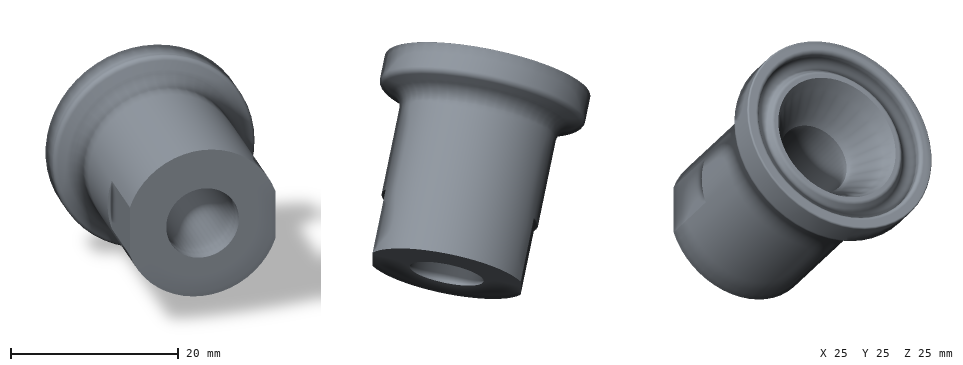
import cadquery as cq
import math

length = 25.0
flange_radius = 12.5
body_radius = 9.52
bore_radius = 4.5

rim_edge_round = 0.2
rim_back = 3.18
back_round = 0.75
neck_round = 2.0
neck_end = 6.25
back_turn = 70.0

groove_outer_radius = 10.88
groove_mouth_round = 0.5
groove_floor_depth = 2.0
groove_round = 0.8
groove_inner_angle = 35.0

lip_recess = 0.75
lip_round = 0.5
mouth_radius = 7.95
funnel_end = 6.62

flat_half_width = 9.0
flat_length = 8.0


def arc_point(center, radius, angle):
    """Point on a circle in the (x, r) half-plane; angle in degrees from +x towards +r."""
    turn = math.radians(angle)
    return center[0] + radius * math.cos(turn), center[1] + radius * math.sin(turn)


def make_turned_body():
    rim_center = (rim_edge_round, flange_radius - rim_edge_round)
    back_center = (rim_back, flange_radius - back_round)
    neck_center = (neck_end, body_radius + neck_round)
    groove_center = (groove_floor_depth - groove_round, groove_outer_radius - groove_round)
    mouth_center = (groove_mouth_round, groove_outer_radius + groove_mouth_round)

    groove_exit = groove_inner_angle - 90
    lip_contact = groove_exit + 180
    wall_start = arc_point(groove_center, groove_round, groove_exit)
    lip_normal = math.radians(lip_contact)
    lip_center_x = lip_recess + lip_round
    run = (groove_center[0] - lip_center_x) * math.cos(lip_normal)
    lip_center_r = groove_center[1] - (groove_round + lip_round + run) / math.sin(lip_normal)
    lip_center = (lip_center_x, lip_center_r)

    return (
        cq.Workplane("XY")
        .moveTo(length, bore_radius)
        .lineTo(length, body_radius)
        .lineTo(neck_end, body_radius)
        .threePointArc(
            arc_point(neck_center, neck_round, -90 - back_turn / 2),
            arc_point(neck_center, neck_round, -90 - back_turn),
        )
        .lineTo(*arc_point(back_center, back_round, 90 - back_turn))
        .threePointArc(
            arc_point(back_center, back_round, 90 - back_turn / 2),
            arc_point(back_center, back_round, 90),
        )
        .lineTo(rim_edge_round, flange_radius)
        .threePointArc(arc_point(rim_center, rim_edge_round, 135), (0, flange_radius - rim_edge_round))
        .lineTo(0, mouth_center[1])
        .threePointArc(
            arc_point(mouth_center, groove_mouth_round, 225),
            (groove_mouth_round, groove_outer_radius),
        )
        .lineTo(groove_center[0], groove_outer_radius)
        .threePointArc((groove_floor_depth, groove_center[1]), wall_start)
        .lineTo(*arc_point(lip_center, lip_round, lip_contact))
        .threePointArc(
            arc_point(lip_center, lip_round, (lip_contact + 180) / 2),
            (lip_recess, lip_center_r),
        )
        .lineTo(lip_recess, mouth_radius)
        .lineTo(funnel_end, bore_radius)
        .close()
        .revolve(360, (0, 0, 0), (1, 0, 0))
    )


def cut_wrench_flats(body):
    cut_depth = body_radius - flat_half_width
    for side in (-1, 1):
        cutter = cq.Workplane("XY").box(flat_length, cut_depth, 2 * body_radius)
        offset = side * (flat_half_width + cut_depth / 2)
        body = body.cut(cutter.translate((length - flat_length / 2, offset, 0)))
    return body


result = cut_wrench_flats(make_turned_body())